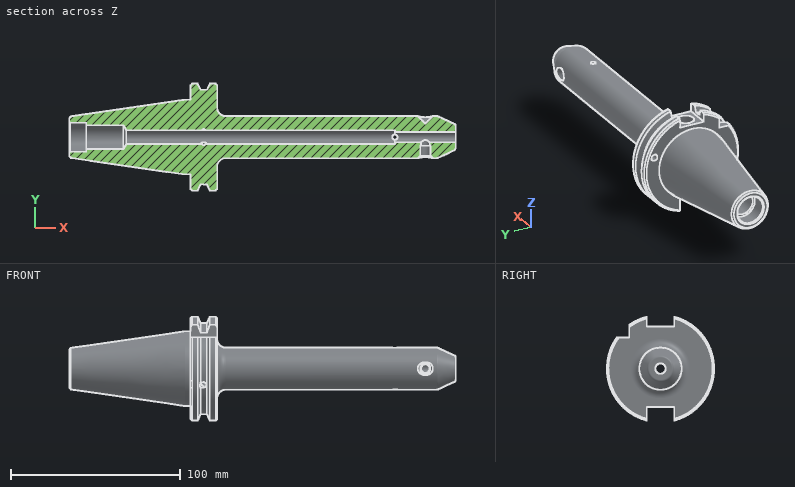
import cadquery as cq
import math


gauge_dia = 44.45
taper_length = 68.4
taper_ratio = 7 / 24
taper_end_chamfer = 1.0
gauge_collar_length = 3.2

flange_dia = 63.55
flange_end_x = 19.1
flange_chamfer = 1.0
groove_x = 11.1
groove_floor_dia = 56.3
groove_mouth_width = 7.07
groove_floor_width = 3.7

slot_width = 16.1
top_slot_floor_z = 25.0
bottom_slot_floor_z = -22.8
notch_side_y = -18.5
notch_floor_z = 18.5
chip_recess_dia = 10.0
chip_recess_depth = 5.0

coolant_circle_dia = 54.0
coolant_angle = 20.0
coolant_port_dia = 4.0
coolant_duct_dia = 3.2

shaft_dia = 25.0
root_fillet = 5.0
nose_end_x = 160.0
nose_start_x = 149.25
nose_end_dia = 15.0
nose_edge_fillet = 1.5

pilot_dia = 17.0
pilot_mouth_dia = 18.2
pilot_depth = 10.0
thread_core_dia = 14.0
thread_core_depth = 32.0
drill_point_half_angle = 59.0
through_dia = 8.0
tool_bore_dia = 6.0
tool_bore_depth = 36.0

screw_setback = 18.0
screw_x = nose_end_x - screw_setback
screw_core_dia = 5.0
screw_thread_dia = 6.0
screw_thread_floor_radius = 5.0
screw_countersink_dia = 9.0
relief_x = nose_end_x - tool_bore_depth
relief_dia = 3.0

shank_end_x = -taper_length
axis_start = (0, 0, 0)
axis_end = (1, 0, 0)


def turned(outline):
    """Revolve a closed (x, radius) wire about the X axis."""
    return outline.close().revolve(360, axis_start, axis_end)


def ring_at(x):
    """Select the circular edge centred on the axis at the given x."""
    reach = 0.1
    return cq.selectors.BoxSelector((x - reach, -reach, -reach), (x + reach, reach, reach))


def holder_body():
    gauge_r = gauge_dia / 2
    small_r = gauge_r - taper_length * taper_ratio / 2
    chamfer_r = gauge_r - (taper_length - taper_end_chamfer) * taper_ratio / 2
    flange_r = flange_dia / 2
    floor_r = groove_floor_dia / 2
    mouth_half = groove_mouth_width / 2
    floor_half = groove_floor_width / 2
    shaft_r = shaft_dia / 2
    nose_r = nose_end_dia / 2
    fillet_drop = root_fillet * (1 - math.sqrt(0.5))
    outline = (
        cq.Workplane("XY")
        .moveTo(shank_end_x, 0)
        .lineTo(shank_end_x, small_r - taper_end_chamfer)
        .lineTo(shank_end_x + taper_end_chamfer, chamfer_r)
        .lineTo(0, gauge_r)
        .lineTo(gauge_collar_length, gauge_r)
        .lineTo(gauge_collar_length, flange_r - flange_chamfer)
        .lineTo(gauge_collar_length + flange_chamfer, flange_r)
        .lineTo(groove_x - mouth_half, flange_r)
        .lineTo(groove_x - floor_half, floor_r)
        .lineTo(groove_x + floor_half, floor_r)
        .lineTo(groove_x + mouth_half, flange_r)
        .lineTo(flange_end_x - flange_chamfer, flange_r)
        .lineTo(flange_end_x, flange_r - flange_chamfer)
        .lineTo(flange_end_x, shaft_r + root_fillet)
        .threePointArc(
            (flange_end_x + fillet_drop, shaft_r + fillet_drop),
            (flange_end_x + root_fillet, shaft_r),
        )
        .lineTo(nose_start_x, shaft_r)
        .lineTo(nose_end_x, nose_r)
        .lineTo(nose_end_x, 0)
    )
    body = turned(outline)
    body = body.edges(ring_at(nose_start_x)).fillet(nose_edge_fillet)
    return body.edges(ring_at(nose_end_x)).fillet(nose_edge_fillet)


def axial_bores():
    pilot_r = pilot_dia / 2
    mouth_r = pilot_mouth_dia / 2
    core_r = thread_core_dia / 2
    through_r = through_dia / 2
    tool_r = tool_bore_dia / 2
    core_end_x = shank_end_x + thread_core_depth
    point_length = (core_r - through_r) / math.tan(math.radians(drill_point_half_angle))
    outline = (
        cq.Workplane("XY")
        .moveTo(shank_end_x, 0)
        .lineTo(shank_end_x, mouth_r)
        .lineTo(shank_end_x + mouth_r - pilot_r, pilot_r)
        .lineTo(shank_end_x + pilot_depth, pilot_r)
        .lineTo(shank_end_x + pilot_depth, core_r)
        .lineTo(core_end_x, core_r)
        .lineTo(core_end_x + point_length, through_r)
        .lineTo(relief_x, through_r)
        .lineTo(relief_x, tool_r)
        .lineTo(nose_end_x, tool_r)
        .lineTo(nose_end_x, 0)
    )
    return turned(outline)


def flange_block(y_min, y_max, z_min, z_max):
    """A block spanning the full flange thickness."""
    thickness = flange_end_x - gauge_collar_length
    return cq.Workplane("XY").box(
        thickness, y_max - y_min, z_max - z_min, centered=False
    ).translate((gauge_collar_length, y_min, z_min))


def flange_cutouts():
    half = slot_width / 2
    rim = flange_dia
    top_slot = flange_block(-half, half, top_slot_floor_z, rim)
    bottom_slot = flange_block(-half, half, -rim, bottom_slot_floor_z)
    notch = flange_block(-rim, notch_side_y, notch_floor_z, rim)
    recess = (
        cq.Workplane("XY", origin=(groove_x, 0, top_slot_floor_z - chip_recess_depth))
        .circle(chip_recess_dia / 2)
        .extrude(chip_recess_depth)
    )
    return top_slot.union(bottom_slot).union(notch).union(recess)


def coolant_channel():
    """An axial port in the flange face meeting a radial duct from the groove to the bore."""
    port = (
        cq.Workplane("YZ", origin=(gauge_collar_length, coolant_circle_dia / 2, 0))
        .circle(coolant_port_dia / 2)
        .extrude(groove_x - gauge_collar_length)
    )
    duct = (
        cq.Workplane("XZ", origin=(groove_x, 0, 0))
        .circle(coolant_duct_dia / 2)
        .extrude(-flange_dia / 2)
    )
    return port.union(duct)


def coolant_channels():
    first = coolant_channel().rotate(axis_start, axis_end, coolant_angle)
    second = first.rotate(axis_start, axis_end, 180)
    return first.union(second)


def countersink():
    """A 90 degree cone from the -Y side of the shaft, coming to a point inside it."""
    cone_r = screw_countersink_dia / 2
    cone_base = cq.Vector(screw_x, -shaft_dia / 2, 0)
    return cq.Workplane(cq.Solid.makeCone(cone_r, 0, cone_r, cone_base, cq.Vector(0, 1, 0)))


def clamping_screw_hole():
    core = (
        cq.Workplane("XZ", origin=(screw_x, 0, 0))
        .circle(screw_core_dia / 2)
        .extrude(shaft_dia)
    )
    thread = (
        cq.Workplane("XZ", origin=(screw_x, -screw_thread_floor_radius, 0))
        .circle(screw_thread_dia / 2)
        .extrude(shaft_dia)
    )
    return core.union(thread).union(countersink())


def balancing_dimple():
    """A blind dimple opposite the clamping screw, the size of its countersink."""
    return countersink().mirror("XZ")


def relief_hole():
    return (
        cq.Workplane("XY", origin=(relief_x, 0, 0))
        .circle(relief_dia / 2)
        .extrude(shaft_dia, both=True)
    )


result = (
    holder_body()
    .cut(axial_bores())
    .cut(flange_cutouts())
    .cut(coolant_channels())
    .cut(clamping_screw_hole())
    .cut(balancing_dimple())
    .cut(relief_hole())
)